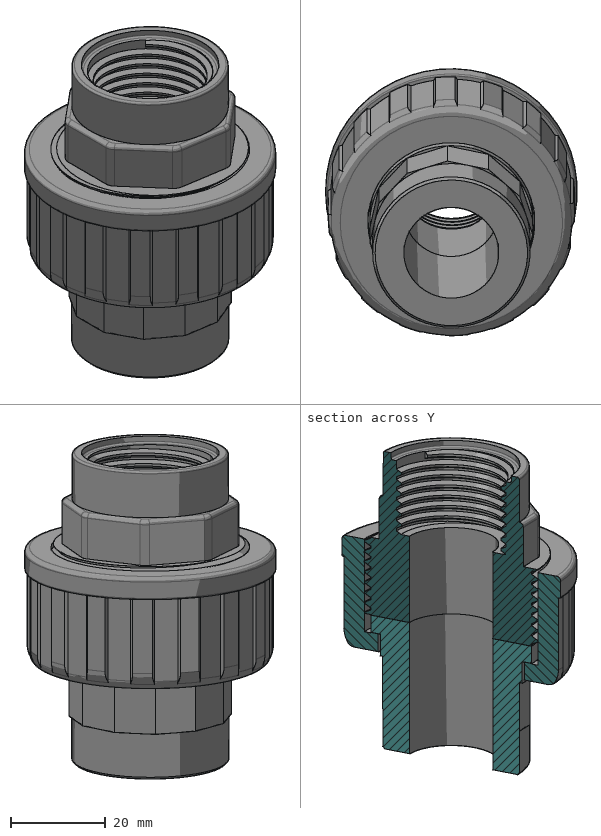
import cadquery as cq
import math

TOTAL_HEIGHT = 66.9
BORE_RADIUS = 20.0 / 2
SIX_TURNS = 13.85
THREAD_PITCH = SIX_TURNS / 6

TAIL_RADIUS = 33.2 / 2
TAIL_ROUND_HEIGHT = 10.0
TAIL_FLATS = 12
TAIL_COLLAR_RADIUS = 34.4 / 2
TAIL_COLLAR_BOTTOM = 20.75
TAIL_CHAMFER = 0.55

NUT_BOTTOM = 21.55
NUT_TOP = 46.35
NUT_BORE_RADIUS = 41.9 / 2
NUT_TAIL_HOLE_RADIUS = 35.2 / 2
NUT_FLOOR_THICKNESS = 4
BAND_RADIUS = 53.0 / 2
BAND_BOTTOM = 41.5
BAND_TOP_FILLET = 1.0
BAND_BOTTOM_FILLET = 0.35
GRIP_RADIUS = 25.4
GRIP_BOTTOM_FILLET = 2
RIB_COUNT = 16
RIB_RADIUS = 25.95
RIB_TOP_WIDTH = 4.15
RIB_BASE_WIDTH = 5.0
RIB_ROUND_START = 25.35
RIB_END = 22.6
RIB_END_RADIUS = 25.15

SHOULDER_TOP = 47.0
OCTAGON_TOP = 56.85
OCTAGON_ACROSS_FLATS = 34.9
OCTAGON_SIDES = 8
OCTAGON_CORNER_FILLET = 2.7
OCTAGON_TOP_FILLET = 1.0
SPIGOT_RADIUS = 33.0 / 2
SPIGOT_TOP_FILLET = 0.5
OUTER_ROOT_RADIUS = 38.95 / 2
OUTER_CREST_RADIUS = NUT_BORE_RADIUS
SOCKET_FLOOR = 49.0
SOCKET_RADIUS = 26.4 / 2
INNER_CREST_RADIUS = 24.0 / 2
INNER_CREST_WIDTH = 0.55
INNER_CREST_HEIGHT = 63.7
INNER_LAST_TURN = 0.4
MOUTH_RADIUS = 29.0 / 2
MOUTH_DEPTH = 1.55
MOUTH_FILLET = 0.4
FLANK_ANGLE = 27.5
THREAD_OVERLAP = 0.3

FLANGE_BOTTOM = NUT_BOTTOM + NUT_FLOOR_THICKNESS
FLANGE_THICKNESS = 4
JOINT = FLANGE_BOTTOM + FLANGE_THICKNESS
MOUTH_FLOOR = TOTAL_HEIGHT - MOUTH_DEPTH


def disc(radius, bottom, top):
    return cq.Workplane("XY").workplane(offset=bottom).circle(radius).extrude(top - bottom)


def prism(sides, across_flats, bottom, top):
    """Regular prism with flats facing the X and Y directions."""
    corner_diameter = across_flats / math.cos(math.pi / sides)
    return (
        cq.Workplane("XY")
        .workplane(offset=bottom)
        .transformed(rotate=(0, 0, 180 / sides))
        .polygon(sides, corner_diameter)
        .extrude(top - bottom)
    )


def thread_ridge(root_radius, crest_radius, crest_width, start, height):
    """Right-handed helical ridge whose trapezoid profile starts on the +X side."""
    outwards = math.copysign(1, crest_radius - root_radius)
    base = root_radius - outwards * THREAD_OVERLAP
    half_crest = crest_width / 2
    half_base = half_crest + abs(crest_radius - base) * math.tan(math.radians(FLANK_ANGLE))
    helix = cq.Wire.makeHelix(THREAD_PITCH, height, base).translate(cq.Vector(0, 0, start))
    return (
        cq.Workplane("XZ")
        .moveTo(base, start - half_base)
        .lineTo(crest_radius, start - half_crest)
        .lineTo(crest_radius, start + half_crest)
        .lineTo(base, start + half_base)
        .close()
        .sweep(cq.Workplane(helix), isFrenet=True)
    )


def make_tail_piece():
    tail = disc(TAIL_RADIUS, 0, TAIL_COLLAR_BOTTOM).faces("<Z").chamfer(TAIL_CHAMFER)
    tail = tail.union(prism(TAIL_FLATS, 2 * TAIL_RADIUS, TAIL_ROUND_HEIGHT, TAIL_COLLAR_BOTTOM))
    tail = tail.union(disc(TAIL_COLLAR_RADIUS, TAIL_COLLAR_BOTTOM, JOINT))
    tail = tail.union(disc(OUTER_ROOT_RADIUS, FLANGE_BOTTOM, JOINT))
    return tail.cut(disc(BORE_RADIUS, 0, JOINT))


def make_rib_envelope():
    """Body of revolution whose side is the outer face of the ribs."""
    return (
        cq.Workplane("XZ")
        .moveTo(0, BAND_BOTTOM)
        .lineTo(RIB_RADIUS, BAND_BOTTOM)
        .lineTo(RIB_RADIUS, RIB_ROUND_START)
        .tangentArcPoint((RIB_END_RADIUS, RIB_END), relative=False)
        .lineTo(0, RIB_END)
        .close()
        .revolve(360, (0, 0), (0, 1))
    )


def make_rib():
    """One grip rib on the +X side, narrowing outwards, trimmed to the rib envelope."""
    inner_half_width = RIB_BASE_WIDTH / 2
    outer_half_width = RIB_TOP_WIDTH / 2
    base = math.sqrt(GRIP_RADIUS**2 - inner_half_width**2)
    top = math.sqrt(RIB_RADIUS**2 - outer_half_width**2)
    slope = (outer_half_width - inner_half_width) / (top - base)
    tip_half_width = outer_half_width + slope * (BAND_RADIUS - top)
    return (
        cq.Workplane("XY")
        .workplane(offset=RIB_END)
        .moveTo(NUT_BORE_RADIUS, -inner_half_width)
        .lineTo(base, -inner_half_width)
        .lineTo(BAND_RADIUS, -tip_half_width)
        .lineTo(BAND_RADIUS, tip_half_width)
        .lineTo(base, inner_half_width)
        .lineTo(NUT_BORE_RADIUS, inner_half_width)
        .close()
        .extrude(BAND_BOTTOM - RIB_END)
        .intersect(make_rib_envelope())
    )


def make_nut():
    nut = disc(GRIP_RADIUS, NUT_BOTTOM, BAND_BOTTOM)
    nut = nut.faces("<Z").edges().fillet(GRIP_BOTTOM_FILLET)
    rib = make_rib()
    for i in range(RIB_COUNT):
        nut = nut.union(rib.rotate((0, 0, 0), (0, 0, 1), i * 360 / RIB_COUNT))
    band = disc(BAND_RADIUS, BAND_BOTTOM, NUT_TOP)
    band = band.faces(">Z").edges().fillet(BAND_TOP_FILLET)
    band = band.faces("<Z").edges().fillet(BAND_BOTTOM_FILLET)
    nut = nut.union(band)
    nut = nut.cut(disc(NUT_BORE_RADIUS, FLANGE_BOTTOM, NUT_TOP))
    return nut.cut(disc(NUT_TAIL_HOLE_RADIUS, NUT_BOTTOM, FLANGE_BOTTOM))


def make_outer_thread():
    """Core and ridge of the outer thread, cut flat at both ends."""
    depth = OUTER_CREST_RADIUS - OUTER_ROOT_RADIUS
    crest = THREAD_PITCH / 2 - depth * math.tan(math.radians(FLANK_ANGLE))
    turns = math.ceil((SHOULDER_TOP - JOINT) / THREAD_PITCH) + 1
    start = SHOULDER_TOP - turns * THREAD_PITCH
    ridge = thread_ridge(OUTER_ROOT_RADIUS, OUTER_CREST_RADIUS, crest, start, (turns + 1) * THREAD_PITCH)
    ridge = ridge.intersect(disc(BAND_RADIUS, JOINT, SHOULDER_TOP))
    return disc(OUTER_ROOT_RADIUS, JOINT, SHOULDER_TOP).union(ridge)


def make_octagon():
    octagon = prism(OCTAGON_SIDES, OCTAGON_ACROSS_FLATS, SHOULDER_TOP, OCTAGON_TOP)
    octagon = octagon.edges("|Z").fillet(OCTAGON_CORNER_FILLET)
    return octagon.faces(">Z").edges().fillet(OCTAGON_TOP_FILLET)


def make_socket():
    """Plain bore of the socket with a wider, shallow mouth."""
    mouth = disc(MOUTH_RADIUS, MOUTH_FLOOR, TOTAL_HEIGHT).faces("<Z").edges().fillet(MOUTH_FILLET)
    return disc(SOCKET_RADIUS, SOCKET_FLOOR, TOTAL_HEIGHT).union(mouth)


def make_inner_thread():
    """Helical ridge on the socket wall, cut flat at the socket floor and at the mouth floor."""
    turns = math.ceil((INNER_CREST_HEIGHT - SOCKET_FLOOR) / THREAD_PITCH)
    start = INNER_CREST_HEIGHT - turns * THREAD_PITCH
    height = (turns + INNER_LAST_TURN) * THREAD_PITCH
    ridge = thread_ridge(SOCKET_RADIUS, INNER_CREST_RADIUS, INNER_CREST_WIDTH, start, height)
    return ridge.intersect(disc(SPIGOT_RADIUS, SOCKET_FLOOR, MOUTH_FLOOR))


def make_threaded_end():
    spigot = disc(SPIGOT_RADIUS, SHOULDER_TOP, TOTAL_HEIGHT).faces(">Z").edges().fillet(SPIGOT_TOP_FILLET)
    end = make_outer_thread().union(make_octagon()).union(spigot)
    end = end.cut(disc(BORE_RADIUS, JOINT, SOCKET_FLOOR))
    end = end.cut(make_socket())
    return end.union(make_inner_thread())


tail_piece = make_tail_piece()
union_nut = make_nut()
threaded_end = make_threaded_end()

bodies = [tail_piece, union_nut, threaded_end]
result = cq.Compound.makeCompound([solid for body in bodies for solid in body.solids().vals()])